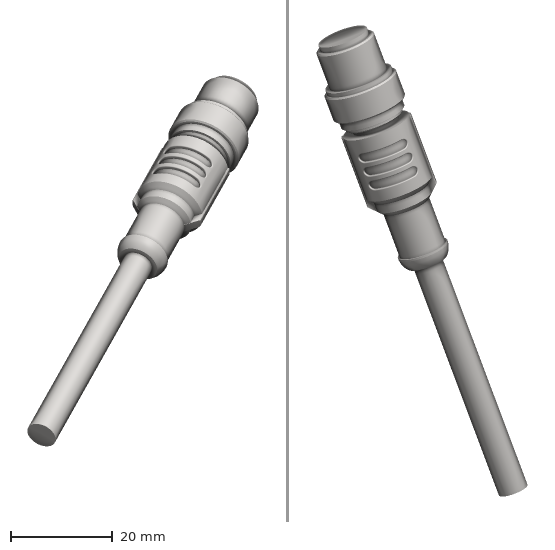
import cadquery as cq
import math

TOLERANCE = 0.01

LENGTH = 98.9
FRONT_Y = LENGTH / 2
CABLE_END_Y = -LENGTH / 2

TIP_DIA = 10.2
PLUG_DIA = 12.1
TIP_LENGTH = 1.2
PLUG_CHAMFER = 0.3
PLUG_END_Y = 40.4

LIP_DIA = 13.8
NUT_DIA = 15.0
NUT_TAIL_DIA = 13.3
NUT_END_DIA = 12.1
NUT_START_Y = 39.5
NUT_STOP_Y = 33.8
NUT_CHAMFER = 0.3
NUT_TAIL_STOP_Y = 32.0
NUT_END_Y = 31.1
NUT_END_CHAMFER = 0.3

NECK_DIA = 9.6
GRIP_DIA = 13.8
GRIP_STEP_DIA = 11.6
GRIP_START_Y = 30.1
GRIP_STOP_Y = 16.7
STEP_STOP_Y = 13.6

COLLAR_DIA = 10.4
COLLAR_END_DIA = 8.2
COLLAR_START_Y = 3.2
COLLAR_ROUND_Y = 2.8
COLLAR_END_Y = 0.3
COLLAR_BULGE = 0.2

CABLE_DIA = 6.0

RIB_SPAN = 14.4
RIB_THICKNESS = 1.9
RIB_CHAMFER = 0.15

GROOVE_COUNT = 3
GROOVE_PITCH = 3.0
GROOVE_FIRST_Y = 26.1
GROOVE_LENGTH = 9.8
GROOVE_WIDTH = 1.9
GROOVE_FLOOR_DIA = 12.5
GROOVE_EDGE_RADIUS = 0.2


def turned_body():
    """Solid of revolution about Y holding every round step of the plug and cable."""
    tip_y = FRONT_Y - TIP_LENGTH
    grip_cone = (GRIP_DIA - GRIP_STEP_DIA) / 2
    step_cone = (GRIP_STEP_DIA - NECK_DIA) / 2
    collar_mid_r = (COLLAR_DIA + COLLAR_END_DIA) / 4 + COLLAR_BULGE
    collar_mid_y = (COLLAR_ROUND_Y + COLLAR_END_Y) / 2 - COLLAR_BULGE
    return (
        cq.Workplane("XY")
        .moveTo(0, FRONT_Y)
        .lineTo(TIP_DIA / 2, FRONT_Y)
        .lineTo(TIP_DIA / 2, tip_y)
        .lineTo(PLUG_DIA / 2 - PLUG_CHAMFER, tip_y)
        .lineTo(PLUG_DIA / 2, tip_y - PLUG_CHAMFER)
        .lineTo(PLUG_DIA / 2, PLUG_END_Y)
        .lineTo(LIP_DIA / 2, PLUG_END_Y)
        .lineTo(LIP_DIA / 2, NUT_START_Y)
        .lineTo(NUT_DIA / 2 - NUT_CHAMFER, NUT_START_Y)
        .lineTo(NUT_DIA / 2, NUT_START_Y - NUT_CHAMFER)
        .lineTo(NUT_DIA / 2, NUT_STOP_Y + NUT_CHAMFER)
        .lineTo(NUT_DIA / 2 - NUT_CHAMFER, NUT_STOP_Y)
        .lineTo(NUT_TAIL_DIA / 2, NUT_STOP_Y)
        .lineTo(NUT_TAIL_DIA / 2, NUT_TAIL_STOP_Y)
        .lineTo(NUT_END_DIA / 2, NUT_TAIL_STOP_Y)
        .lineTo(NUT_END_DIA / 2, NUT_END_Y + NUT_END_CHAMFER)
        .lineTo(NUT_END_DIA / 2 - NUT_END_CHAMFER, NUT_END_Y)
        .lineTo(NECK_DIA / 2, NUT_END_Y)
        .lineTo(NECK_DIA / 2, GRIP_START_Y)
        .lineTo(GRIP_DIA / 2, GRIP_START_Y)
        .lineTo(GRIP_DIA / 2, GRIP_STOP_Y)
        .lineTo(GRIP_STEP_DIA / 2, GRIP_STOP_Y - grip_cone)
        .lineTo(GRIP_STEP_DIA / 2, STEP_STOP_Y)
        .lineTo(NECK_DIA / 2, STEP_STOP_Y - step_cone)
        .lineTo(NECK_DIA / 2, COLLAR_START_Y)
        .lineTo(COLLAR_DIA / 2, COLLAR_START_Y)
        .lineTo(COLLAR_DIA / 2, COLLAR_ROUND_Y)
        .threePointArc((collar_mid_r, collar_mid_y), (COLLAR_END_DIA / 2, COLLAR_END_Y))
        .lineTo(CABLE_DIA / 2, COLLAR_END_Y)
        .lineTo(CABLE_DIA / 2, CABLE_END_Y)
        .lineTo(0, CABLE_END_Y)
        .close()
        .revolve(360, (0, 0, 0), (0, 1, 0))
    )


def side_ribs():
    """Plate through the axis whose edges stand out of the grip as two side ribs."""
    half_span = RIB_SPAN / 2
    neck_r = NECK_DIA / 2
    slope_end_y = STEP_STOP_Y - (GRIP_STEP_DIA - NECK_DIA) / 2
    slope_start_y = slope_end_y + half_span - neck_r
    outline = [
        (-half_span, GRIP_START_Y),
        (half_span, GRIP_START_Y),
        (half_span, slope_start_y),
        (neck_r, slope_end_y),
        (-neck_r, slope_end_y),
        (-half_span, slope_start_y),
    ]
    plate = cq.Workplane("XY").polyline(outline).close().extrude(RIB_THICKNESS / 2, both=True)
    return plate.edges("|Y").chamfer(RIB_CHAMFER)


def finger_grooves():
    """Round-ended cutters that reach down to a floor concentric with the grip."""
    cutters = cq.Workplane("XY")
    for i in range(GROOVE_COUNT):
        slot = (
            cq.Workplane("XY")
            .center(0, GROOVE_FIRST_Y - i * GROOVE_PITCH)
            .slot2D(GROOVE_LENGTH, GROOVE_WIDTH)
            .extrude(GRIP_DIA, both=True)
        )
        cutters = cutters.add(slot)
    core = cq.Workplane("XZ").circle(GROOVE_FLOOR_DIA / 2).extrude(LENGTH, both=True)
    return cutters.combine().cut(core)


def is_groove_rim(edge):
    """True for the edges where a groove wall meets the outside of the grip."""
    start = edge.startPoint()
    on_grip = abs(math.hypot(start.x, start.z) - GRIP_DIA / 2) < TOLERANCE
    beside_groove = abs(start.x) < GROOVE_LENGTH / 2 + TOLERANCE
    between_ends = GRIP_STOP_Y + TOLERANCE < start.y < GRIP_START_Y - TOLERANCE
    return on_grip and beside_groove and between_ends


grooved_body = turned_body().cut(finger_grooves())
rounded_body = grooved_body.edges().filter(is_groove_rim).fillet(GROOVE_EDGE_RADIUS)
result = rounded_body.union(side_ribs())